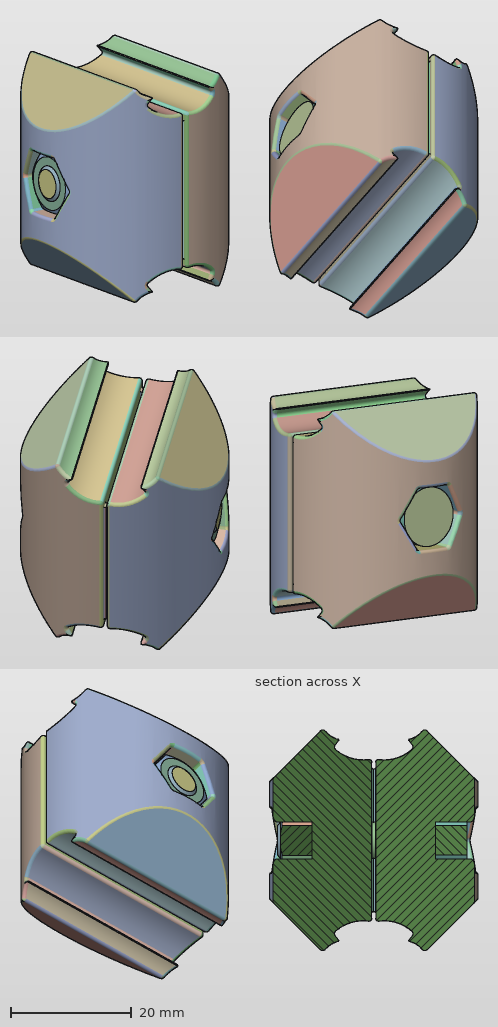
import cadquery as cq
import math

half_gap = 0.3
body_radius = 17.0
outer_y = half_gap + body_radius
edge_radius = 0.5
slope_start_z = 9.68
crest_z = 18.6
crest_y = outer_y + slope_start_z - crest_z

groove_center_y = 1.75
groove_center_z = 20.23
groove_radius = 6.9
undercut_y = 6.67
lip_tip_y = 5.65
lip_tip_z = 16.7
lip_bevel_depth = 0.2
lip_middle_y = 7.05
lip_middle_z = 17.23

rib_inner_x = 14.95
rib_outer_x = 16.13
rib_length = 23.68
rib_root_radius = 0.15

pocket_flats = 10.52
pocket_corner_radius = 0.62
seat_y = 10.25
clearance_diameter = 6.2
nut_flats = 10.0
nut_thickness = 5.2
nut_outer_y = seat_y + nut_thickness
nut_face_diameter = 9.0
nut_bevel_angle = math.radians(30)
bolt_diameter = 6.0
bolt_tip_diameter = 4.9
bolt_tip_length = 0.45
head_diameter = 10.0


def cylinder_along_y(diameter, start_y, end_y):
    """Cylinder on the Y axis between two Y positions."""
    circle = cq.Workplane("XZ", origin=(0, end_y, 0)).circle(diameter / 2)
    return circle.extrude(end_y - start_y)


def hexagon_along_y(flats, start_y, end_y):
    """Hexagonal prism on the Y axis, with two of its corners in the XY plane."""
    corners = flats / math.cos(math.pi / 6)
    hexagon = cq.Workplane("XZ", origin=(0, end_y, 0)).polygon(6, corners)
    return hexagon.extrude(end_y - start_y)


def groove_z(y):
    """Height of the upper groove's floor at a given Y."""
    return groove_center_z - math.sqrt(groove_radius**2 - (y - groove_center_y) ** 2)


def upper_section():
    """Section of the +Y half above Z = 0."""
    groove_middle_y = (half_gap + undercut_y) / 2
    beyond_y = outer_y + slope_start_z
    return (
        cq.Workplane("YZ")
        .moveTo(half_gap, 0)
        .lineTo(half_gap, groove_z(half_gap))
        .threePointArc(
            (groove_middle_y, groove_z(groove_middle_y)),
            (undercut_y, groove_z(undercut_y)),
        )
        .lineTo(lip_tip_y, lip_tip_z)
        .threePointArc((lip_middle_y, lip_middle_z), (crest_y, crest_z))
        .lineTo(beyond_y, 0)
        .close()
    )


def rounded_body():
    """Grooved half cylinder with every edge rounded except the sharp tips of the lips."""
    upper = upper_section().extrude(body_radius, both=True)
    profile = upper.union(upper.mirror("XY")).clean()
    cylinder = (
        cq.Workplane("XY", origin=(0, half_gap, 0)).circle(body_radius).extrude(crest_z, both=True)
    )
    body = profile.intersect(cylinder)
    reach = cq.Vector(0.2, 0.2, 0.2)
    upper_tip = cq.Vector(0, lip_tip_y, lip_tip_z)
    lower_tip = cq.Vector(0, lip_tip_y, -lip_tip_z)
    upper_edge, lower_edge = (
        cq.selectors.BoxSelector((tip - reach).toTuple(), (tip + reach).toTuple())
        for tip in (upper_tip, lower_tip)
    )
    return body.edges(-(upper_edge + lower_edge)).fillet(edge_radius)


def bevel_lips(body):
    """Trim the sharp tip of each lip to a narrow flat at 45 degrees."""
    for side in (1, -1):
        trim = (
            cq.Workplane("YZ", origin=(0, lip_tip_y, side * lip_tip_z))
            .transformed(rotate=(0, 0, 45))
            .rect(2 * lip_bevel_depth, 2 * lip_bevel_depth)
            .extrude(body_radius, both=True)
        )
        body = body.cut(trim)
    return body


def add_hex_pocket(body):
    """Sink a hexagonal pocket with a rounded rim into the outer wall."""
    pocket = hexagon_along_y(pocket_flats, seat_y, outer_y).edges("|Y").fillet(pocket_corner_radius)
    body = body.cut(pocket)
    rim_zone = cq.selectors.BoxSelector(
        (-pocket_flats, seat_y + nut_thickness, -pocket_flats / 2 - 0.35),
        (pocket_flats, outer_y + 0.35, pocket_flats / 2 + 0.35),
    )
    return body.edges(rim_zone).fillet(edge_radius)


def add_ribs(half):
    """Raise an upright rib near each side of the gap face, with a rounded root."""
    rib_x = (rib_inner_x + rib_outer_x) / 2
    rib_width = rib_outer_x - rib_inner_x
    for side in (1, -1):
        rib = cq.Workplane("XY", origin=(side * rib_x, half_gap / 2, 0)).box(
            rib_width, half_gap, rib_length
        )
        root = cq.selectors.BoxSelector(
            (side * rib_x - rib_width, half_gap / 2, -rib_length),
            (side * rib_x + rib_width, 1.5 * half_gap, rib_length),
        )
        half = half.union(rib)
        roots = half.edges("#Y").edges(root)
        half = roots.fillet(rib_root_radius)
    return half


def make_clamp_half():
    """The +Y clamp half."""
    half = add_hex_pocket(bevel_lips(rounded_body()))
    half = half.cut(cylinder_along_y(clearance_diameter, half_gap, seat_y))
    return add_ribs(half)


def make_nut():
    """Hexagonal nut in the -Y pocket, its outer corners bevelled."""
    nut = hexagon_along_y(nut_flats, -nut_outer_y, -seat_y)
    cone_radius = nut_face_diameter / 2 + nut_thickness / math.tan(nut_bevel_angle)
    bevel = (
        cq.Workplane("XY")
        .moveTo(0, -nut_outer_y)
        .lineTo(nut_face_diameter / 2, -nut_outer_y)
        .lineTo(cone_radius, -seat_y)
        .lineTo(0, -seat_y)
        .close()
        .revolve(360, (0, 0, 0), (0, 1, 0))
    )
    return nut.intersect(bevel).cut(cylinder_along_y(bolt_diameter, -nut_outer_y, -seat_y))


def make_bolt():
    """Bolt with a round head in the +Y pocket and a tapered tip beyond the nut."""
    tip_y = -nut_outer_y - bolt_tip_length
    return (
        cq.Workplane("XY")
        .moveTo(0, tip_y)
        .lineTo(bolt_tip_diameter / 2, tip_y)
        .lineTo(bolt_diameter / 2, -nut_outer_y)
        .lineTo(bolt_diameter / 2, seat_y)
        .lineTo(head_diameter / 2, seat_y)
        .lineTo(head_diameter / 2, nut_outer_y)
        .lineTo(0, nut_outer_y)
        .close()
        .revolve(360, (0, 0, 0), (0, 1, 0))
    )


back_half = make_clamp_half()
clamp_halves = [back_half.rotate((0, 0, 0), (0, 0, 1), angle) for angle in (0, 180)]
nut = make_nut()
bolt = make_bolt()

result = cq.Compound.makeCompound([half.val() for half in clamp_halves] + [nut.val(), bolt.val()])